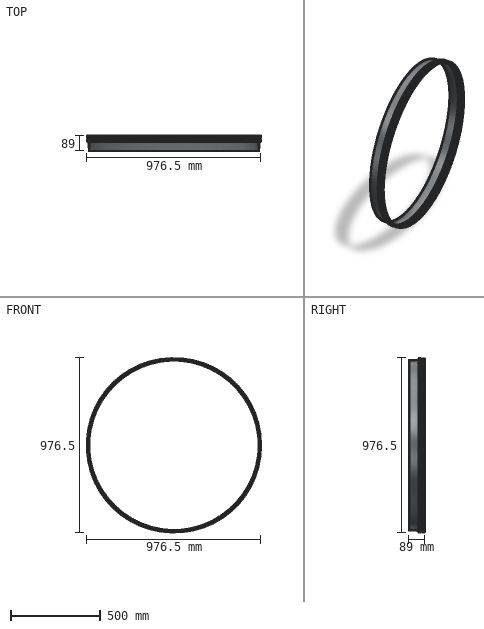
import cadquery as cq

width = 89.0
sheet = 2.0

front_bead_radius = 976.5 / 2
rear_bead_radius = 976.0 / 2
groove_radius = 968.0 / 2
lip_radius = 967.0 / 2
skirt_rear_radius = 959.0 / 2
skirt_front_radius = 955.0 / 2

rim_rise = 4.0
bead_crown = 7.0
bead_slope = 3.0
groove_width = 9.0
lip_chamfer = front_bead_radius - lip_radius

rear_bead_back = width - rim_rise
rear_bead_front = rear_bead_back - bead_crown
groove_back = rear_bead_front - bead_slope
groove_front = groove_back - groove_width
front_bead_back = groove_front - bead_slope
front_bead_front = front_bead_back - bead_crown
wall = front_bead_front - lip_chamfer

corrugation = [
    (groove_radius, width),
    (rear_bead_radius, rear_bead_back),
    (rear_bead_radius, rear_bead_front),
    (groove_radius, groove_back),
    (groove_radius, groove_front),
    (front_bead_radius, front_bead_back),
    (front_bead_radius, front_bead_front),
]


def sheet_face(inset):
    """Section line of one sheet face; the flat wall between lip and skirt moves back by the inset."""
    wall_face = wall + inset
    face = [(radius - inset, y) for radius, y in corrugation]
    face.append((lip_radius - inset, wall_face))
    face.append((skirt_rear_radius - inset, wall_face))
    face.append((skirt_front_radius - inset, 0))
    return face


outer_face = sheet_face(0)
inner_face = sheet_face(sheet)
section = cq.Workplane("XY").polyline(outer_face + inner_face[::-1]).close()

result = section.revolve(360, (0, 0, 0), (0, 1, 0))